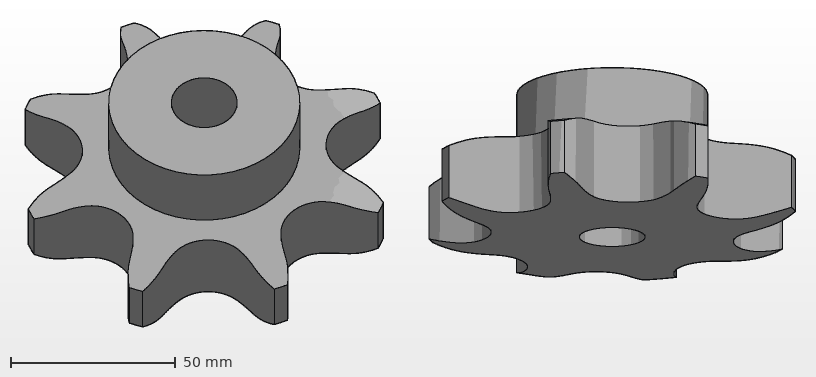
import cadquery as cq
import math


tooth_count = 8
chain_pitch = 38.1
roller_diameter = 25.3
seating_clearance = 0.04
tip_diameter = 115.0
disc_thickness = 24.0
total_height = 45.0
hub_diameter = 58.0
bore_diameter = 20.0
side_arc_start_radius = 40.4
tip_setback = 3.8
gap_overshoot = 5.4

tooth_angle = 360 / tooth_count
pitch_radius = chain_pitch / 2 / math.sin(math.pi / tooth_count)
tip_radius = tip_diameter / 2

seating_radius = 0.5025 * roller_diameter + seating_clearance
working_centre_offset = 0.8 * roller_diameter
topping_centre_offset = 1.4 * roller_diameter
working_radius = seating_radius + working_centre_offset
seating_end_angle = 35 + 60 / tooth_count
working_sweep = 18 - 56 / tooth_count
topping_tilt = math.radians(17 - 64 / tooth_count)
flat_length = (topping_centre_offset * math.sin(topping_tilt)
               - working_centre_offset * math.sin(math.radians(working_sweep)))
topping_radius = (working_centre_offset * math.cos(math.radians(working_sweep))
                  + topping_centre_offset * math.cos(topping_tilt) - working_radius)
flat_angle = seating_end_angle - working_sweep
topping_end_angle = 57


def offset(point, distance, angle):
    """Point at a distance from another one, angle in degrees from +X."""
    angle = math.radians(angle)
    return point[0] + distance * math.cos(angle), point[1] + distance * math.sin(angle)


def mirrored(point):
    return -point[0], point[1]


def make_blank():
    """Turned disc whose faces curve tangentially down to the tip circle."""
    run = tip_radius - side_arc_start_radius
    side_arc_radius = (run**2 + tip_setback**2) / (2 * tip_setback)
    half_arc = math.asin(run / side_arc_radius) / 2
    middle_radius = side_arc_start_radius + side_arc_radius * math.sin(half_arc)
    middle_drop = side_arc_radius * (1 - math.cos(half_arc))
    return (
        cq.Workplane("XZ")
        .lineTo(side_arc_start_radius, 0)
        .threePointArc((middle_radius, middle_drop), (tip_radius, tip_setback))
        .lineTo(tip_radius, disc_thickness - tip_setback)
        .threePointArc((middle_radius, disc_thickness - middle_drop),
                       (side_arc_start_radius, disc_thickness))
        .lineTo(0, disc_thickness)
        .close()
        .revolve(360, (0, 0, 0), (0, 1, 0))
    )


def make_gap():
    """Cutter for one tooth gap, symmetric about the +Y axis."""
    seat_centre = (0, pitch_radius)
    root = (0, pitch_radius - seating_radius)
    seat_end = offset(seat_centre, seating_radius, 180 + seating_end_angle)
    working_centre = offset(seat_centre, working_centre_offset, seating_end_angle)
    working_middle = offset(working_centre, working_radius,
                            180 + seating_end_angle - working_sweep / 2)
    working_end = offset(working_centre, working_radius, 180 + flat_angle)
    flat_end = offset(working_end, flat_length, 90 + flat_angle)
    topping_centre = offset(flat_end, topping_radius, 180 + flat_angle)
    topping_middle = offset(topping_centre, topping_radius, (flat_angle + topping_end_angle) / 2)
    topping_end = offset(topping_centre, topping_radius, topping_end_angle)
    outer_corner = (topping_end[0], tip_radius + gap_overshoot)
    return (
        cq.Workplane("XY")
        .moveTo(*outer_corner)
        .lineTo(*topping_end)
        .threePointArc(topping_middle, flat_end)
        .lineTo(*working_end)
        .threePointArc(working_middle, seat_end)
        .threePointArc(root, mirrored(seat_end))
        .threePointArc(mirrored(working_middle), mirrored(working_end))
        .lineTo(*mirrored(flat_end))
        .threePointArc(mirrored(topping_middle), mirrored(topping_end))
        .lineTo(*mirrored(outer_corner))
        .close()
        .extrude(disc_thickness)
    )


sprocket = make_blank()
gap = make_gap()
for index in range(tooth_count):
    sprocket = sprocket.cut(gap.rotate((0, 0, 0), (0, 0, 1), index * tooth_angle))

hub = cq.Workplane("XY").circle(hub_diameter / 2).extrude(total_height)
bore = cq.Workplane("XY").circle(bore_diameter / 2).extrude(total_height)

result = sprocket.union(hub).cut(bore)